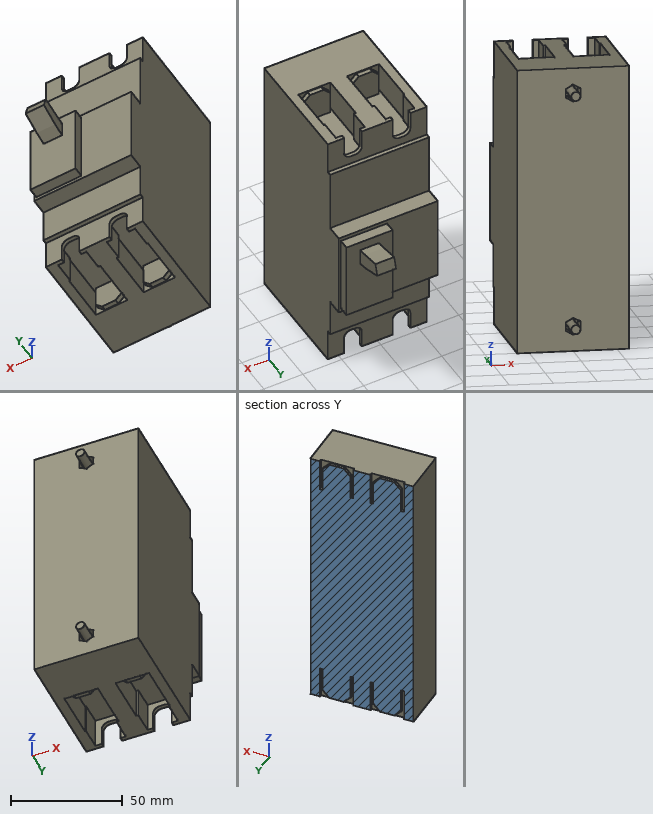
import cadquery as cq
import math


width = 50.8
height = 130.0
body_front = 58.0
plate_front = 60.0
plate_height = 96.5
step_front = 68.0
step_height = 44.7
boss_front = 73.0
boss_width = 23.7
boss_height = 40.8
controls_z = -6.4
pole_x = 12.5

handle_width = 9.6
handle_root = 70.2
handle_tip_y = 88.7

pocket_depth = 15.5
pocket_back = 22.8
pocket_jog = 45.8
lip_thickness = 2.0
lip_back = body_front - lip_thickness
wide_width = 16.4
narrow_width = 14.8
narrow_offset = 0.3
slot_width = 9.1
slot_depth = 12.5
slot_corner = 3.5

block_width = 13.8
block_thickness = 2.3
block_gap = 0.5
block_chamfer = 3.4

stud_diameter = 4.2
stud_length = 6.8
stud_z = 53.5
socket_flats = 6.8
socket_corners = socket_flats / math.cos(math.radians(30))
socket_depth = 7.8


def block(size_x, y_start, y_end, size_z, x=0.0, z=0.0):
    """Box centred on x and z that spans y_start to y_end."""
    middle = (x, (y_start + y_end) / 2, z)
    return cq.Workplane("XY").box(size_x, y_end - y_start, size_z).translate(middle)


def handle():
    """Toggle that tapers towards its tip and leans upwards."""
    profile = [
        (handle_root, 9.0),
        (77.5, 10.0),
        (87.0, 12.0),
        (handle_tip_y, 6.2),
        (79.0, 2.6),
        (handle_root, 0.4),
    ]
    lever = cq.Workplane("YZ").polyline(profile).close().extrude(handle_width / 2, both=True)
    return lever.translate((pole_x, 0, 0))


def terminal_pocket(side):
    """Cavity open at the top end for the pole on the given side (-1 or +1)."""
    x = side * pole_x
    mid_z = height / 2 - pocket_depth / 2
    wide = block(wide_width, pocket_back, pocket_jog, pocket_depth, x, mid_z)
    narrow_x = x + side * narrow_offset
    narrow = block(narrow_width, pocket_jog, lip_back, pocket_depth, narrow_x, mid_z)
    slot = block(slot_width, lip_back, body_front, slot_depth, x, (height - slot_depth) / 2)
    slot = slot.edges("|Y and <Z").fillet(slot_corner)
    terminal_height = pocket_depth - block_gap
    terminal_z = height / 2 - pocket_depth + terminal_height / 2
    terminal_front = pocket_back + block_thickness
    terminal = block(block_width, pocket_back, terminal_front, terminal_height, x, terminal_z)
    terminal = terminal.edges("|Y and >Z").chamfer(block_chamfer)
    return wide.union(narrow).union(slot).cut(terminal)


def stud_socket():
    """Hexagonal recess in the mounting face with its corners up and down."""
    prism = cq.Workplane("XZ").polygon(6, socket_corners).extrude(-socket_depth)
    return prism.rotate((0, 0, 0), (0, 1, 0), 30)


def stud():
    """Round pin rising from the socket floor and out past the mounting face."""
    pin = cq.Workplane("XZ").circle(stud_diameter / 2).extrude(stud_length + socket_depth)
    return pin.translate((0, socket_depth, 0))


body = block(width, 0, body_front, height)
for pole_side in (-1, 1):
    cavity = terminal_pocket(pole_side)
    body = body.cut(cavity).cut(cavity.mirror("XY"))

body = body.union(block(width, body_front, plate_front, plate_height))
body = body.union(block(width, body_front, step_front, step_height, 0, controls_z))
body = body.union(block(boss_width, step_front, boss_front, boss_height, pole_x, controls_z))
body = body.union(handle())

for z in (-stud_z, stud_z):
    body = body.cut(stud_socket().translate((0, 0, z)))
    body = body.union(stud().translate((0, 0, z)))

result = body